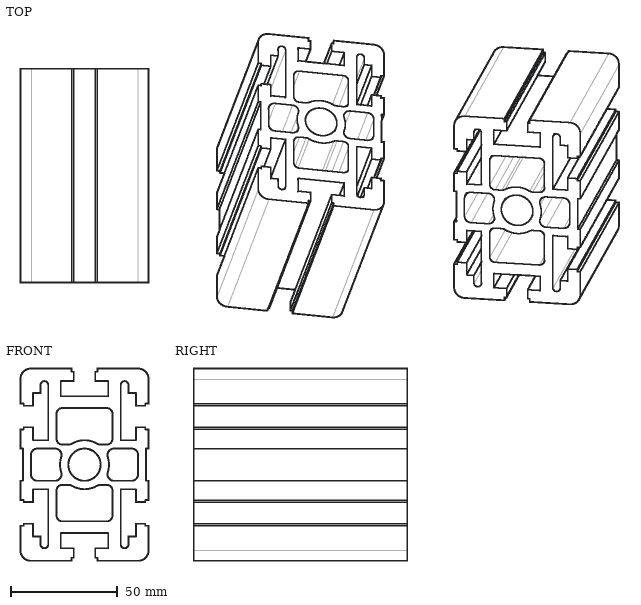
import cadquery as cq
import math

width = 60.0
length = 100.0
height = 90.0
outer_radius = 5.0

mouth_width = 10.0
mouth_step_width = 12.0
mouth_step_depth = 1.5
lip_thickness = 6.0
slot_depth = 13.0
slot_inner_width = 22.0
side_slot_z = height / 4

relief_width = 3.5
relief_end_z = height / 2 - lip_thickness

bore_diameter = 15.0
boss_radius = 11.5

cavity_wall_thickness = 4.0
large_cavity_width = width - 2 * (slot_depth + cavity_wall_thickness)
large_cavity_floor_z = 9.5
large_cavity_roof_z = 26.4
large_cavity_radius = 2.5
boss_blend_radius = 3.0

small_cavity_outer_x = 25.0
small_cavity_height = 15.0
small_cavity_radius = 3.0

side_groove_depth = 1.2
side_groove_height = 15.0


def bar(x_min, x_max, z_min, z_max):
    """Rectangular bar over the full length, centred on Y."""
    return cq.Workplane("XY").box(x_max - x_min, length, z_max - z_min).translate(
        ((x_min + x_max) / 2, 0, (z_min + z_max) / 2)
    )


def rod(radius):
    """Cylinder on the Y axis over the full length."""
    return cq.Workplane("XZ").circle(radius).extrude(length / 2, both=True)


def t_slot(face_z):
    """T-slot opening upwards through a face at height face_z."""
    lip_z = face_z - lip_thickness
    step = bar(-mouth_step_width / 2, mouth_step_width / 2, face_z - mouth_step_depth, face_z)
    mouth = bar(-mouth_width / 2, mouth_width / 2, lip_z, face_z)
    chamber = bar(-slot_inner_width / 2, slot_inner_width / 2, face_z - slot_depth, lip_z)
    return step.union(mouth).union(chamber)


def side_slot():
    """Upper T-slot of the +X face, with its rounded relief."""
    slot = t_slot(width / 2).rotate((0, 0, 0), (0, 1, 0), 90).translate((0, 0, side_slot_z))
    slot_floor_x = width / 2 - slot_depth
    relief_radius = relief_width / 2
    relief_centre_z = relief_end_z - relief_radius
    relief = bar(slot_floor_x, slot_floor_x + relief_width, side_slot_z, relief_centre_z)
    relief_end = rod(relief_radius).translate((slot_floor_x + relief_radius, 0, relief_centre_z))
    return slot.union(relief).union(relief_end)


def large_cavity():
    """Upper cavity, with the boss bulging into its floor."""
    half_width = large_cavity_width / 2
    cavity = bar(-half_width, half_width, large_cavity_floor_z, large_cavity_roof_z)
    cavity = cavity.edges("|Y").fillet(large_cavity_radius).cut(rod(boss_radius))
    corner_x = math.sqrt(boss_radius**2 - large_cavity_floor_z**2)
    for x in (-corner_x, corner_x):
        corner = cq.selectors.NearestToPointSelector((x, 0, large_cavity_floor_z))
        cavity = cavity.edges("|Y").edges(corner).fillet(boss_blend_radius)
    return cavity


def small_cavity():
    """Cavity on the +X side, with the boss bulging into its inner wall."""
    half_height = small_cavity_height / 2
    cavity = bar(0, small_cavity_outer_x, -half_height, half_height)
    return cavity.cut(rod(boss_radius)).edges("|Y").fillet(small_cavity_radius)


result = bar(-width / 2, width / 2, -height / 2, height / 2).edges("|Y").fillet(outer_radius)
result = result.cut(rod(bore_diameter / 2))

for feature in (t_slot(height / 2), large_cavity()):
    result = result.cut(feature).cut(feature.mirror("XY"))

side_groove = bar(
    width / 2 - side_groove_depth, width / 2, -side_groove_height / 2, side_groove_height / 2
)
for feature in (small_cavity(), side_groove):
    result = result.cut(feature).cut(feature.mirror("YZ"))

slot_pair = side_slot().union(side_slot().mirror("YZ"))
result = result.cut(slot_pair).cut(slot_pair.mirror("XY"))